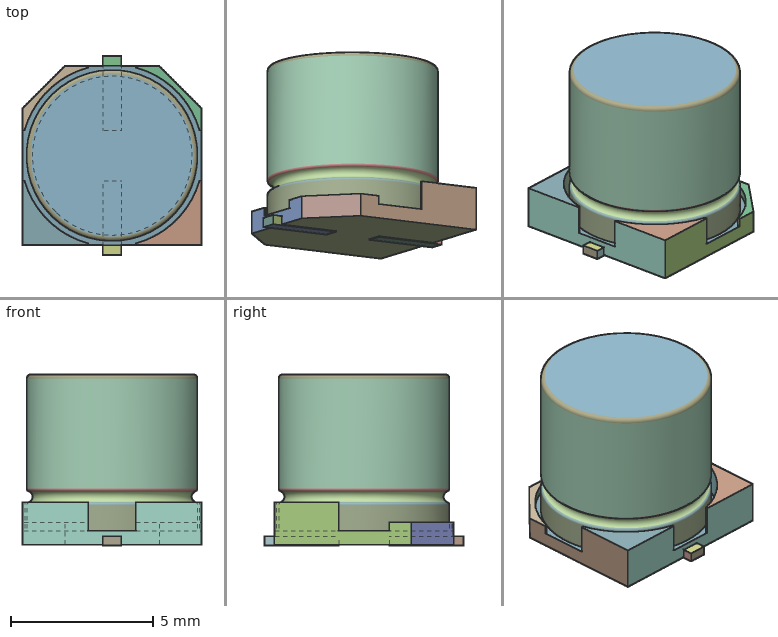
import cadquery as cq
import math

base_width = 6.3
overall_length = 7.0
overall_height = 6.01

base_bottom = 0.03
base_floor = 0.525
low_wall_top = 0.82
high_wall_top = 1.525
corner_bevel = 1.5
recess_radius = 3.2
end_gap_width = 1.67
side_gap_width = 1.78

can_radius = 3.0
top_edge_radius = 0.15
groove_height = 1.715
groove_radius = 0.2
groove_lip_radius = 0.1

terminal_width = 0.65
terminal_thickness = 0.33
terminal_inner_end = 0.89
terminal_length = overall_length / 2 - terminal_inner_end


def box_between(width, length, bottom, top):
    """Box centred on the Z axis that reaches from bottom to top."""
    return cq.Workplane("XY").workplane(offset=bottom).rect(width, length).extrude(top - bottom)


def make_tray():
    """Base with its round recess, wall gaps and lowered +Y walls."""
    tray = box_between(base_width, base_width, base_bottom, high_wall_top)
    tray = tray.edges("|Z and >Y").chamfer(corner_bevel)

    recess = (
        cq.Workplane("XY").workplane(offset=base_floor)
        .circle(recess_radius).extrude(high_wall_top - base_floor)
    )
    end_gaps = box_between(end_gap_width, base_width, base_floor, high_wall_top)
    side_gaps = box_between(base_width, side_gap_width, base_floor, high_wall_top)
    above_low_walls = box_between(base_width, base_width, low_wall_top, high_wall_top)
    above_low_walls = above_low_walls.translate((0, base_width / 2, 0))
    return tray.cut(recess).cut(end_gaps).cut(side_gaps).cut(above_low_walls)


def make_can():
    """Revolved can with a rounded top edge and a round groove with rounded lips."""
    centre_distance = groove_radius + groove_lip_radius
    lip_rise = math.sqrt(centre_distance**2 - groove_lip_radius**2)
    lip_centre_radius = can_radius - groove_lip_radius
    joint_share = groove_radius / centre_distance
    joint_rise = lip_rise * joint_share
    joint_radius = can_radius - groove_lip_radius * joint_share

    lip_half_angle = math.atan2(lip_rise, groove_lip_radius) / 2
    lip_mid_radius = lip_centre_radius + groove_lip_radius * math.cos(lip_half_angle)
    lip_mid_rise = lip_rise - groove_lip_radius * math.sin(lip_half_angle)

    def lip_points(direction):
        wall_point = (can_radius, groove_height + direction * lip_rise)
        lip_point = (lip_mid_radius, groove_height + direction * lip_mid_rise)
        joint_point = (joint_radius, groove_height + direction * joint_rise)
        return wall_point, lip_point, joint_point

    lower_wall, lower_lip, lower_joint = lip_points(-1)
    upper_wall, upper_lip, upper_joint = lip_points(1)

    profile = (
        cq.Workplane("XZ")
        .moveTo(0, base_floor)
        .lineTo(can_radius, base_floor)
        .lineTo(*lower_wall)
        .threePointArc(lower_lip, lower_joint)
        .threePointArc((can_radius - groove_radius, groove_height), upper_joint)
        .threePointArc(upper_lip, upper_wall)
        .lineTo(can_radius, overall_height)
        .lineTo(0, overall_height)
        .close()
    )
    can = profile.revolve(360, (0, 0, 0), (0, 1, 0))
    return can.faces(">Z").edges().fillet(top_edge_radius)


def make_terminal(side):
    """Terminal bar on the +Y side (side = 1) or the -Y side (side = -1)."""
    centre_y = side * (terminal_inner_end + terminal_length / 2)
    bar = box_between(terminal_width, terminal_length, 0, terminal_thickness)
    return bar.translate((0, centre_y, 0))


terminals = [make_terminal(side) for side in (1, -1)]

housing = make_tray().union(make_can())
for terminal in terminals:
    housing = housing.cut(terminal)

result = cq.Compound.makeCompound([housing.val(), *[terminal.val() for terminal in terminals]])